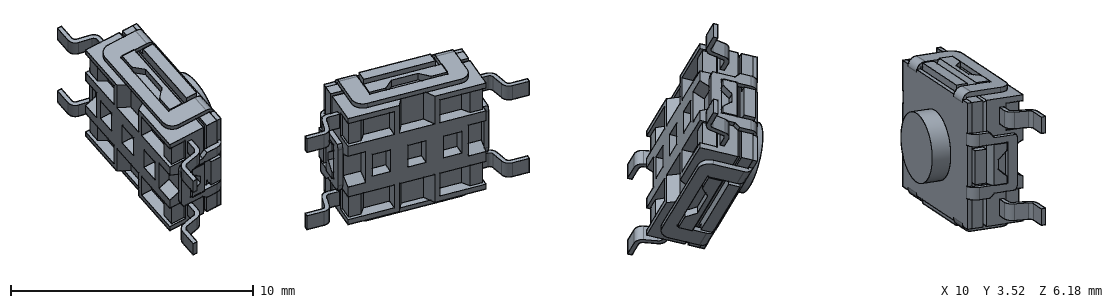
import cadquery as cq
import math


total_length = 10.0
body_half_x = 3.1
body_half_z = 2.75

base_bottom = 0.12
base_shoulder = 1.8
base_top = 1.96
plate_top = 2.47
cover_thickness = 0.2
cover_top = plate_top + cover_thickness
button_top = 3.52
button_diameter = 3.0

catch_reach = 0.34
catch_bottom = 1.02
catch_top = 1.63
catch_notch_top = 1.42

strap_gap = 0.07
strap_thickness = 0.22
bend_radius = 0.4
strap_corner_radius = 0.5
window_bottom = 0.96
tab_reach = 0.31

X_SIDE = dict(
    edge=body_half_x, strap_half=1.43, strap_bottom=0.51, window_half=0.89, tab_half=0.74,
    notch_half_bottom=0.56, notch_half_top=0.2, turn=0, mirror_plane="YZ",
)
Z_SIDE = dict(
    edge=body_half_z, strap_half=2.6, strap_bottom=0.42, window_half=1.76, tab_half=1.61,
    notch_half_bottom=1.02, notch_half_top=0.6, turn=90, mirror_plane="XY",
)
SIDES = (X_SIDE, Z_SIDE)

strap_neck_upper_z = 1.18
strap_neck_lower_z = -1.24
shoulder_top = 1.78
shoulder_bottom = 1.57

pocket_depth = 0.5
end_pocket_length = 0.79
end_pocket_half = 0.8
end_pocket_floor_half = 0.55
middle_pocket_half = 0.8
middle_pocket_floor_half = 0.5
pocket_inner_z = 1.31
corner_pocket_outer_z = 2.49
corner_pocket_inner_x = 1.02
corner_floor_outer_x = 2.2
corner_block_inner_x = 2.45
corner_block_raise = 0.15
corner_side_recess = 0.09
corner_recess_top = 0.9
plain_hole_pitch = 1.6
plain_hole_size_x = 0.82
plain_hole_size_z = 1.12

lead_thickness = 0.2
lead_width = 0.72
lead_center_z = 2.0
lead_upper_bottom = 1.01
lead_bend_start = 3.57
lead_bend_inner_radius = 0.17
lead_bend_angle = math.radians(77)


def box(x0, x1, y0, y1, z0, z1):
    """Box between the given limits."""
    return cq.Workplane("XY").box(x1 - x0, y1 - y0, z1 - z0, centered=False).translate((x0, y0, z0))


def on_both_sides(shape, side):
    """A shape modelled on the +X side, turned onto its side, and its mirror copy opposite."""
    turned = shape.rotate((0, 0, 0), (0, 1, 0), side["turn"])
    return [turned, turned.mirror(side["mirror_plane"])]


def side_outline(points, start, reach):
    """Closed outline of (Z, Y) points, extruded outwards from X = start."""
    plane = cq.Plane(origin=(start, 0, 0), xDir=(0, 0, -1), normal=(1, 0, 0))
    return cq.Workplane(plane).polyline([(-z, y) for z, y in points]).close().extrude(reach)


def trapezoid(bottom_half, top_half, bottom, top):
    """Corner points of a symmetric trapezoid."""
    return [(-bottom_half, bottom), (bottom_half, bottom), (top_half, top), (-top_half, top)]


def catch(side):
    """Block on the base side with a sloped top and a notch in its lower edge."""
    edge = side["edge"]
    half = side["window_half"]
    block = (
        cq.Workplane("XY").workplane(offset=-half)
        .moveTo(edge, catch_bottom)
        .lineTo(edge + catch_reach, catch_bottom)
        .lineTo(edge + catch_reach, catch_top)
        .lineTo(edge, base_shoulder)
        .close()
        .extrude(2 * half)
    )
    notch = trapezoid(side["notch_half_bottom"], side["notch_half_top"], catch_bottom, catch_notch_top)
    return block.cut(side_outline(notch, edge, catch_reach))


def middle_pocket():
    """Pocket with two sloped walls, open through the +Z side."""
    outline = trapezoid(
        middle_pocket_half, middle_pocket_floor_half, base_bottom, base_bottom + pocket_depth
    )
    pocket = cq.Workplane("XY").polyline(outline).close().extrude(body_half_z - pocket_inner_z)
    return pocket.translate((0, 0, pocket_inner_z))


def end_pocket():
    """Pocket with two sloped walls, open through the +X side."""
    outline = trapezoid(
        end_pocket_half, end_pocket_floor_half, base_bottom, base_bottom + pocket_depth
    )
    return side_outline(outline, body_half_x - end_pocket_length, end_pocket_length)


def corner_pocket():
    """Pocket in the +X +Z corner that leaves a lowered block at the base side."""
    block_bottom = base_bottom + corner_block_raise
    block_side = body_half_x - corner_side_recess
    pocket_floor = base_bottom + pocket_depth
    outline = [
        (corner_pocket_inner_x, base_bottom),
        (body_half_x, base_bottom),
        (body_half_x, corner_recess_top),
        (block_side, corner_recess_top),
        (block_side, block_bottom),
        (corner_block_inner_x, block_bottom),
        (corner_floor_outer_x, pocket_floor),
        (corner_pocket_inner_x, pocket_floor),
    ]
    pocket = cq.Workplane("XY").polyline(outline).close()
    pocket = pocket.extrude(corner_pocket_outer_z - pocket_inner_z)
    return pocket.translate((0, 0, pocket_inner_z))


def make_base():
    base = box(-body_half_x, body_half_x, base_bottom, base_top, -body_half_z, body_half_z)
    base = base.faces(">Y").chamfer(base_top - base_shoulder)
    for side in SIDES:
        for copy in on_both_sides(catch(side), side):
            base = base.union(copy)

    for mirror_z in (False, True):
        pocket = middle_pocket()
        corner = corner_pocket()
        if mirror_z:
            pocket = pocket.mirror("XY")
            corner = corner.mirror("XY")
        base = base.cut(pocket).cut(corner).cut(corner.mirror("YZ"))
    for copy in on_both_sides(end_pocket(), X_SIDE):
        base = base.cut(copy)

    for column in (-1, 0, 1):
        center = column * plain_hole_pitch
        base = base.cut(box(
            center - plain_hole_size_x / 2, center + plain_hole_size_x / 2,
            base_bottom, base_bottom + pocket_depth,
            -plain_hole_size_z / 2, plain_hole_size_z / 2,
        ))
    return base


def make_upper_plate():
    plate = box(-body_half_x, body_half_x, base_top, plate_top, -body_half_z, body_half_z)
    for side in SIDES:
        half = side["tab_half"]
        tab = box(side["edge"], side["edge"] + tab_reach, base_top, plate_top, -half, half)
        for copy in on_both_sides(tab, side):
            plate = plate.union(copy)
    return plate


def strap_face(side, start, reach):
    """U-shaped strap outline with rounded lower corners, extruded outwards."""
    half = side["strap_half"]
    window_half = side["window_half"]
    face = box(start, start + reach, side["strap_bottom"], cover_top, -half, half)
    face = face.edges("|X and <Y").fillet(strap_corner_radius)
    return face.cut(box(start, start + reach, window_bottom, cover_top, -window_half, window_half))


def narrow_strap(face, side, start, reach):
    """Cuts the strap's long edges back below sloped shoulders."""
    bottom = side["strap_bottom"]
    for neck_z in (strap_neck_upper_z, strap_neck_lower_z):
        edge_z = math.copysign(side["strap_half"], neck_z)
        relief = [
            (edge_z, shoulder_top),
            (neck_z, shoulder_bottom),
            (neck_z, bottom),
            (edge_z, bottom),
        ]
        face = face.cut(side_outline(relief, start, reach))
    return face


def strap_bend(side, start, outer):
    """Bent sheet section: rounded outside, square inside, and straight down the side."""
    half = side["strap_half"]
    inner = outer - strap_thickness
    bottom = side["strap_bottom"]
    bend_bottom = cover_top - bend_radius
    return (
        cq.Workplane("XY").workplane(offset=-half)
        .moveTo(start, cover_top)
        .radiusArc((outer, bend_bottom), bend_radius)
        .lineTo(outer, bottom)
        .lineTo(inner, bottom)
        .lineTo(inner, plate_top)
        .lineTo(start, plate_top)
        .close()
        .extrude(2 * half)
    )


def make_cover():
    cover = box(-body_half_x, body_half_x, plate_top, cover_top, -body_half_z, body_half_z)
    for side in SIDES:
        outer = side["edge"] + strap_gap + strap_thickness
        start = outer - bend_radius
        face = strap_face(side, start, bend_radius)
        if side is X_SIDE:
            face = narrow_strap(face, side, start, bend_radius)
        strap = face.intersect(strap_bend(side, start, outer))
        for face_copy, strap_copy in zip(on_both_sides(face, side), on_both_sides(strap, side)):
            cover = cover.cut(face_copy).union(strap_copy)
    return cover.cut(button_cylinder())


def button_cylinder():
    """Round button standing on the upper plate; the cover's hole is the same size."""
    plane = cq.Plane(origin=(0, plate_top, 0), xDir=(1, 0, 0), normal=(0, 1, 0))
    return cq.Workplane(plane).circle(button_diameter / 2).extrude(button_top - plate_top)


def make_lead():
    """Gull-wing strip on the +X side, centred on Z = 0."""
    mid_radius = lead_bend_inner_radius + lead_thickness / 2
    bend_run = mid_radius * math.sin(lead_bend_angle)
    bend_drop = mid_radius * (1 - math.cos(lead_bend_angle))
    slant_drop = lead_upper_bottom - 2 * bend_drop
    slant_run = slant_drop / math.tan(lead_bend_angle)
    upper_mid = lead_upper_bottom + lead_thickness / 2
    path = (
        cq.Workplane("XY")
        .moveTo(body_half_x, upper_mid)
        .lineTo(lead_bend_start, upper_mid)
        .tangentArcPoint((bend_run, -bend_drop), relative=True)
        .line(slant_run, -slant_drop)
        .tangentArcPoint((bend_run, -bend_drop), relative=True)
        .lineTo(total_length / 2, lead_thickness / 2)
    )
    section = cq.Workplane("YZ", origin=(body_half_x, upper_mid, 0)).rect(lead_thickness, lead_width)
    return section.sweep(path)


base = make_base()
upper_plate = make_upper_plate()
cover = make_cover()
button = button_cylinder()
leads = [
    lead
    for z in (-lead_center_z, lead_center_z)
    for lead in on_both_sides(make_lead().translate((0, 0, z)), X_SIDE)
]

result = cq.Compound.makeCompound([
    base.val(),
    upper_plate.val(),
    cover.val(),
    button.val(),
    *[lead.val() for lead in leads],
])